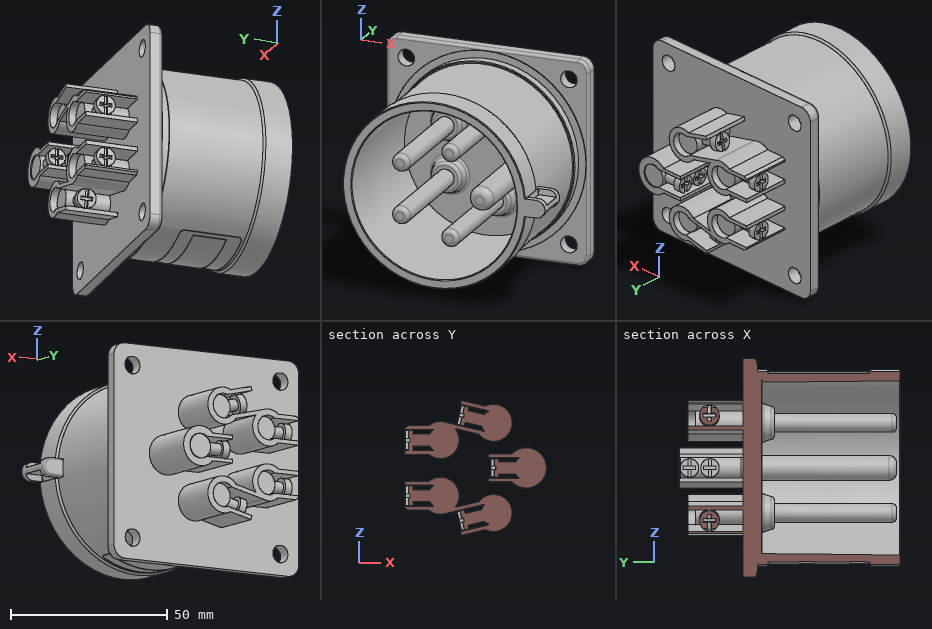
import cadquery as cq
import math


FLANGE_SIZE = 70.0
FLANGE_THICKNESS = 4.4
FLANGE_CORNER_RADIUS = 4.0
FLANGE_EDGE_RADIUS = 1.0
MOUNT_HOLE_SPACING = 56.0
MOUNT_HOLE_DIAMETER = 5.6
SEAT_DIAMETER = 68.0
SEAT_FRONT = 4.7

SHELL_LENGTH = 50.3
COLLAR_DIAMETER = 63.0
COLLAR_FRONT = 8.15
BODY_DIAMETER = 61.55
RIM_DIAMETER = 63.0
RIM_REAR = 40.2
RIM_BEVEL = 0.7
EDGE_BEVEL = 0.3
CAVITY_FLOOR = 6.0
CAVITY_FLOOR_DIAMETER = 55.9
CAVITY_MOUTH_DIAMETER = 56.8
CAVITY_MOUTH_BEVEL = 0.3

LABEL_REAR = 18.2
LABEL_FRONT = 39.3
LABEL_WIDTH = 29.8
LABEL_CORNER_RADIUS = 1.5
LABEL_DEPTH = 0.15
PLATE_REAR = 22.9
PLATE_FRONT = 34.3
PLATE_WIDTH = 26.8

KEY_REAR = 37.1
KEY_TIP = 38.1
KEY_RADIUS = 3.0
KEY_ROOT_RADIUS = 29.5
KEY_WEB_THICKNESS = 2.0
KEY_POCKET_REAR = 39.7
KEY_POCKET_FRONT = 48.0
KEY_POCKET_START = 31.7
KEY_WALL_INSET = 0.2
KEY_REAR_FILLET = 0.55
KEY_POCKET_DRAFT = 8.0

PIN_COUNT = 5
PIN_CIRCLE_RADIUS = 15.15
PIN_TIP = 49.1
EARTH_PIN_DIAMETER = 8.0
EARTH_PIN_BORE = 8.5
EARTH_BORE_DEPTH = 1.0
PHASE_PIN_DIAMETER = 6.0
PIN_FLAT_DIAMETER = 3.0
PIN_BOSS_HEIGHT = 4.0
PIN_BOSS_FLAT_DIAMETER = 8.5
PIN_BOSS_TOP_ROUND = 1.05
PIN_BOSS_WALL_FLARE = 0.75
PIN_BOSS_FOOT_FILLET = 0.75

PHASE_HOUSING_DIAMETER = 12.0
PHASE_HOUSING_LENGTH = 17.65
PHASE_CONTACT_LENGTH = 15.2
EARTH_HOUSING_DIAMETER = 13.0
EARTH_HOUSING_LENGTH = 20.4
EARTH_CONTACT_LENGTH = 20.0
CONTACT_DIAMETER = 8.0
CHEEK_GAP = 6.6
CHEEK_THICKNESS = 1.35
EARTH_CHEEK_THICKNESS = 1.2
SIDE_CHEEK_REACH = 11.45
SIDE_CHEEK_BEVEL_LENGTH = 1.0
SIDE_CHEEK_BEVEL_DEPTH = 0.75
UPPER_CHEEK_REACH = 11.7
UPPER_CHEEK_TILT = 13.3
BRIDGE_REACH = 15.4
EARTH_CHEEK_REACH = 12.1
EARTH_BASE_DIAMETER = 10.0
EARTH_BASE_HEIGHT = 0.7

PHASE_SCREW_DIAMETER = 6.4
EARTH_SCREW_DIAMETER = 5.9
SCREW_HEIGHT = 10.75
EARTH_SCREW_HEIGHTS = (10.55, 17.1)
SCREW_HEAD_REACH = 11.3
SCREW_HEAD_THICKNESS = 2.5
SCREW_SHANK_DIAMETER = 4.0
SCREW_SLOT_WIDTH = 1.1
SCREW_CROSS_LENGTH = 4.0
SCREW_SLOT_DEPTH = 1.0
SCREW_CROSS_DEPTH = 1.5


def disc(diameter, start, end, x=0.0, z=0.0):
    """Cylinder along the connector axis between two depths in front of Y = 0."""
    plane = cq.Workplane("XZ", origin=(0, -start, 0))
    return plane.center(x, z).circle(diameter / 2).extrude(end - start)


def box_between(x_range, y_range, z_range):
    corner = cq.Vector(x_range[0], y_range[0], z_range[0])
    sizes = [high - low for low, high in (x_range, y_range, z_range)]
    return cq.Workplane("XY").add(cq.Solid.makeBox(*sizes, corner))


def pin_position(index):
    angle = 2 * math.pi * index / PIN_COUNT
    return PIN_CIRCLE_RADIUS * math.cos(angle), PIN_CIRCLE_RADIUS * math.sin(angle)


def make_flange():
    plate = cq.Workplane("XZ").rect(FLANGE_SIZE, FLANGE_SIZE).extrude(FLANGE_THICKNESS)
    plate = plate.edges("|Y").fillet(FLANGE_CORNER_RADIUS)
    plate = plate.faces("<Y").edges().fillet(FLANGE_EDGE_RADIUS)
    holes = (
        cq.Workplane("XZ")
        .rect(MOUNT_HOLE_SPACING, MOUNT_HOLE_SPACING, forConstruction=True)
        .vertices()
        .circle(MOUNT_HOLE_DIAMETER / 2)
        .extrude(FLANGE_THICKNESS)
    )
    return plate.union(disc(SEAT_DIAMETER, 0, SEAT_FRONT)).cut(holes)


def make_shell():
    collar = disc(COLLAR_DIAMETER, 0, COLLAR_FRONT).faces("<Y").edges().chamfer(EDGE_BEVEL)
    body = disc(BODY_DIAMETER, 0, SHELL_LENGTH)
    rim = disc(RIM_DIAMETER, RIM_REAR, SHELL_LENGTH)
    rim = rim.faces(">Y").edges().chamfer(RIM_BEVEL)
    rim = rim.faces("<Y").edges().chamfer(EDGE_BEVEL)
    return collar.union(body.cut(label_recess())).union(rim)


def label_recess():
    """Thin skin taken off the underside, leaving a plate at full height in its middle."""

    def patch(width, rear, front):
        y_mid = -(rear + front) / 2
        sketch = cq.Workplane("XY").center(0, y_mid).rect(width, front - rear)
        return sketch.extrude(-COLLAR_DIAMETER)

    outer = patch(LABEL_WIDTH, LABEL_REAR, LABEL_FRONT).edges("|Z").fillet(LABEL_CORNER_RADIUS)
    skin = disc(COLLAR_DIAMETER, LABEL_REAR, LABEL_FRONT)
    skin = skin.cut(disc(BODY_DIAMETER - 2 * LABEL_DEPTH, LABEL_REAR, LABEL_FRONT))
    return skin.intersect(outer.cut(patch(PLATE_WIDTH, PLATE_REAR, PLATE_FRONT)))


def make_key():
    arc_center = KEY_TIP - KEY_RADIUS
    key = (
        cq.Workplane("XZ", origin=(0, -KEY_REAR, 0))
        .moveTo(KEY_ROOT_RADIUS, -KEY_RADIUS)
        .lineTo(arc_center, -KEY_RADIUS)
        .threePointArc((KEY_TIP, 0), (arc_center, KEY_RADIUS))
        .lineTo(KEY_ROOT_RADIUS, KEY_RADIUS)
        .close()
        .extrude(SHELL_LENGTH - KEY_REAR)
    )
    key = key.faces(">Y").edges().fillet(KEY_REAR_FILLET)
    pocket_length = KEY_POCKET_FRONT - KEY_POCKET_REAR
    pocket_width = KEY_TIP - KEY_WALL_INSET - KEY_POCKET_START
    pocket = (
        cq.Workplane("XY", origin=(KEY_POCKET_START, -KEY_POCKET_FRONT, KEY_WEB_THICKNESS / 2))
        .rect(pocket_width, pocket_length, centered=False)
        .extrude(KEY_RADIUS, taper=-KEY_POCKET_DRAFT)
    )
    return key.cut(pocket).cut(pocket.mirror("XY"))


def make_cavity():
    depth = SHELL_LENGTH - CAVITY_FLOOR
    taper = math.degrees(math.atan((CAVITY_MOUTH_DIAMETER - CAVITY_FLOOR_DIAMETER) / 2 / depth))
    plane = cq.Workplane("XZ", origin=(0, -CAVITY_FLOOR, 0))
    bore = plane.circle(CAVITY_FLOOR_DIAMETER / 2).extrude(depth, taper=-taper)
    lip_plane = cq.Workplane("XZ", origin=(0, CAVITY_MOUTH_BEVEL - SHELL_LENGTH, 0))
    lip = lip_plane.circle(CAVITY_MOUTH_DIAMETER / 2).extrude(CAVITY_MOUTH_BEVEL, taper=-45)
    return bore.union(lip)


def make_pin(diameter):
    pin = disc(diameter, 0, PIN_TIP)
    return pin.faces("<Y").edges().fillet((diameter - PIN_FLAT_DIAMETER) / 2)


def make_earth_pin():
    x, z = pin_position(0)
    return make_pin(EARTH_PIN_DIAMETER).translate((x, 0, z))


def make_earth_bore():
    return disc(EARTH_PIN_BORE, CAVITY_FLOOR - EARTH_BORE_DEPTH, CAVITY_FLOOR, *pin_position(0))


def make_phase_pin(index):
    """Pin on a flared boss with a rounded top edge and a filleted foot."""
    x, z = pin_position(index)
    flat_radius = PIN_BOSS_FLAT_DIAMETER / 2
    wall_top_radius = flat_radius + PIN_BOSS_TOP_ROUND
    wall_foot_radius = wall_top_radius + PIN_BOSS_WALL_FLARE
    foot_radius = wall_foot_radius + PIN_BOSS_FOOT_FILLET
    arc_sag = 1 - math.sqrt(0.5)
    top_sag = PIN_BOSS_TOP_ROUND * arc_sag
    foot_sag = PIN_BOSS_FOOT_FILLET * arc_sag
    floor = -CAVITY_FLOOR
    top = floor - PIN_BOSS_HEIGHT
    boss = (
        cq.Workplane("XY")
        .moveTo(0, 0)
        .lineTo(foot_radius, 0)
        .lineTo(foot_radius, floor)
        .threePointArc(
            (wall_foot_radius + foot_sag, floor - foot_sag),
            (wall_foot_radius, floor - PIN_BOSS_FOOT_FILLET),
        )
        .lineTo(wall_top_radius, top + PIN_BOSS_TOP_ROUND)
        .threePointArc((wall_top_radius - top_sag, top + top_sag), (flat_radius, top))
        .lineTo(0, top)
        .close()
        .revolve(360, (0, 0, 0), (0, 1, 0))
    )
    return boss.union(make_pin(PHASE_PIN_DIAMETER)).translate((x, 0, z))


def make_screw(diameter, height):
    """Cross-slotted screw pointing along local -X from the housing axis."""
    rear = cq.Workplane("YZ", origin=(-SCREW_HEAD_REACH, height, 0))
    head = rear.circle(diameter / 2).extrude(SCREW_HEAD_THICKNESS)
    slot = rear.rect(SCREW_SLOT_WIDTH, diameter).extrude(SCREW_SLOT_DEPTH)
    cross = rear.rect(SCREW_CROSS_LENGTH, SCREW_SLOT_WIDTH).extrude(SCREW_CROSS_DEPTH)
    shank_start = rear.workplane(offset=SCREW_CROSS_DEPTH)
    shank = shank_start.circle(SCREW_SHANK_DIAMETER / 2).extrude(SCREW_HEAD_REACH - SCREW_CROSS_DEPTH)
    return head.cut(slot).cut(cross).union(shank)


def make_housing(diameter, length, contact_length, reach, thickness):
    """Bored cylinder with two cheeks toward local -X and a contact in its bore."""
    half_width = CHEEK_GAP / 2 + thickness
    housing = disc(diameter, 0, -length)
    housing = housing.union(box_between((-reach, 0), (0, length), (-half_width, half_width)))
    opening = box_between((-reach, 0), (0, length), (-CHEEK_GAP / 2, CHEEK_GAP / 2))
    housing = housing.cut(opening).cut(disc(CONTACT_DIAMETER, 0, -length))
    return housing.union(disc(CONTACT_DIAMETER, 0, -contact_length))


def place(shape, index, tilt=0.0):
    x, z = pin_position(index)
    return shape.rotate((0, 0, 0), (0, 1, 0), tilt).translate((x, 0, z))


def mirrored_pair(shape):
    return shape.union(shape.mirror("XY"))


def make_earth_terminal():
    terminal = make_housing(
        EARTH_HOUSING_DIAMETER,
        EARTH_HOUSING_LENGTH,
        EARTH_CONTACT_LENGTH,
        EARTH_CHEEK_REACH,
        EARTH_CHEEK_THICKNESS,
    )
    for height in EARTH_SCREW_HEIGHTS:
        terminal = terminal.union(make_screw(EARTH_SCREW_DIAMETER, height))
    terminal = terminal.union(disc(EARTH_BASE_DIAMETER, 0, -EARTH_BASE_HEIGHT))
    return place(terminal, 0)


def make_phase_terminal(reach):
    housing = make_housing(
        PHASE_HOUSING_DIAMETER, PHASE_HOUSING_LENGTH, PHASE_CONTACT_LENGTH, reach, CHEEK_THICKNESS
    )
    return housing.union(make_screw(PHASE_SCREW_DIAMETER, SCREW_HEIGHT))


def make_upper_terminal():
    """Tilted terminal whose lower cheek runs on to the neighbouring side housing."""
    terminal = make_phase_terminal(UPPER_CHEEK_REACH)
    half_gap = CHEEK_GAP / 2
    bridge = box_between(
        (-BRIDGE_REACH, -CONTACT_DIAMETER / 2),
        (0, PHASE_HOUSING_LENGTH),
        (-half_gap - CHEEK_THICKNESS, -half_gap),
    )
    return place(terminal.union(bridge), 1, UPPER_CHEEK_TILT)


def make_side_terminal():
    """Straight terminal with a bevel on the outer edge of its outer cheek."""
    terminal = make_phase_terminal(SIDE_CHEEK_REACH)
    outer = CHEEK_GAP / 2 + CHEEK_THICKNESS
    bevel = (
        cq.Workplane("XZ")
        .moveTo(-SIDE_CHEEK_REACH, outer)
        .lineTo(SIDE_CHEEK_BEVEL_LENGTH - SIDE_CHEEK_REACH, outer)
        .lineTo(-SIDE_CHEEK_REACH, outer - SIDE_CHEEK_BEVEL_DEPTH)
        .close()
        .extrude(-PHASE_HOUSING_LENGTH)
    )
    return place(terminal.cut(bevel), 2)


result = make_flange().union(make_shell()).union(make_key()).cut(make_cavity())
result = result.cut(make_earth_bore()).union(make_earth_pin())
for pin_index in range(1, PIN_COUNT):
    result = result.union(make_phase_pin(pin_index))
result = result.union(make_earth_terminal())
result = result.union(mirrored_pair(make_upper_terminal()))
result = result.union(mirrored_pair(make_side_terminal()))